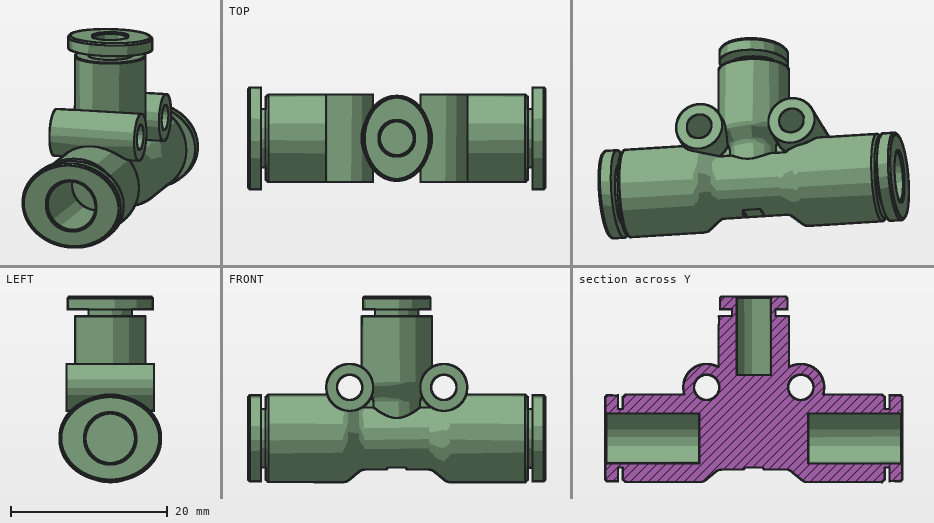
import cadquery as cq

run_port_radius = 5.6
run_port_end = 16.7
run_port_chamfer = 0.35
waist_radius = 4.0
run_cone_inner = 4.48
run_cone_outer = 6.43

branch_port_radius = 4.5
branch_port_end = 15.6
branch_port_chamfer = 0.1
stem_radius = 3.05
branch_cone_inner = 5.03
branch_cone_outer = 6.78

cone_blend = 1.0

ring_thickness = 1.65
ring_chamfer = 0.25
bore_chamfer = 0.2
run_ring_face = 18.95
run_ring_long = 13.0
run_ring_short = 11.0
run_neck_radius = 3.75
run_bore_radius = 3.15
run_bore_depth = 12.0
branch_ring_face = 18.1
branch_ring_long = 10.86
branch_ring_short = 8.65
branch_neck_radius = 2.8
branch_bore_radius = 2.15
branch_bore_depth = 10.0

tube_radius = 3.0
tube_hole_radius = 1.6
tube_x = 6.0
tube_z = 6.5
tube_length = 2 * run_port_radius

web_thickness = 1.2

gate_width = 2.65
gate_length = 4.0
gate_depth = 0.28
gate_draft = 35.0


def stepped_leg(inner_radius, cone_inner, cone_outer, port_radius, port_end, end_chamfer):
    """Round leg along +Z: thin part, blended cone, then the wider port with a chamfered end."""
    leg = (
        cq.Workplane("XZ")
        .polyline([
            (0, 0),
            (inner_radius, 0),
            (inner_radius, cone_inner),
            (port_radius, cone_outer),
            (port_radius, port_end),
            (0, port_end),
        ])
        .close()
        .revolve(360, (0, 0, 0), (0, 1, 0))
    )
    leg = leg.faces(">Z").chamfer(end_chamfer)

    middle_height = (cone_inner + cone_outer) / 2
    cone_reach = port_radius + cone_blend
    cone_zone = cq.selectors.BoxSelector(
        (-cone_reach, -cone_reach, middle_height - cone_reach / 2),
        (cone_reach, cone_reach, middle_height + cone_reach / 2),
        boundingbox=False,
    )
    return leg.edges("%CIRCLE").edges(cone_zone).fillet(cone_blend)


def release_ring(long_axis, short_axis, face, neck_radius, neck_start):
    """Oval ring with its outer face at height `face`, long axis along Y, on a round neck."""
    ring = (
        cq.Workplane("XY", origin=(0, 0, face - ring_thickness))
        .ellipse(short_axis / 2, long_axis / 2)
        .extrude(ring_thickness)
        .faces(">Z")
        .chamfer(ring_chamfer)
    )
    neck = (
        cq.Workplane("XY", origin=(0, 0, neck_start))
        .circle(neck_radius)
        .extrude(face - ring_thickness - neck_start)
    )
    return ring.union(neck)


def blind_bore(radius, depth, face):
    """Cutter for a flat-bottomed tube bore with a chamfered mouth at height `face`."""
    bore = cq.Workplane("XY", origin=(0, 0, face - depth)).circle(radius).extrude(depth)
    mouth = cq.Solid.makeCone(
        radius, radius + bore_chamfer, bore_chamfer, cq.Vector(0, 0, face - bore_chamfer)
    )
    return bore.union(cq.Workplane(mouth))


def along_y(radius, x):
    """Cylinder along Y with the length and height of the mounting tubes."""
    return (
        cq.Workplane("XZ", origin=(x, tube_length / 2, tube_z))
        .circle(radius)
        .extrude(tube_length)
    )


def onto_run(shape, side):
    """Turn a shape built along +Z to point along +X (side 1) or -X (side -1)."""
    return shape.rotate((0, 0, 0), (0, 1, 0), side * 90)


run_leg = stepped_leg(
    waist_radius, run_cone_inner, run_cone_outer, run_port_radius, run_port_end, run_port_chamfer
)
run_ring = release_ring(
    run_ring_long, run_ring_short, run_ring_face, run_neck_radius, run_port_end
)
run_bore = blind_bore(run_bore_radius, run_bore_depth, run_ring_face)

branch_leg = stepped_leg(
    stem_radius,
    branch_cone_inner,
    branch_cone_outer,
    branch_port_radius,
    branch_port_end,
    branch_port_chamfer,
)
branch_ring = release_ring(
    branch_ring_long, branch_ring_short, branch_ring_face, branch_neck_radius, branch_port_end
)
branch_bore = blind_bore(branch_bore_radius, branch_bore_depth, branch_ring_face)

web = cq.Workplane("XY").box(2 * tube_x, web_thickness, tube_z, centered=(True, True, False))

body = branch_leg.union(branch_ring).union(web)
for side in (-1, 1):
    body = body.union(onto_run(run_leg, side)).union(onto_run(run_ring, side))
    body = body.union(along_y(tube_radius, side * tube_x))

body = body.cut(branch_bore)
for side in (-1, 1):
    body = body.cut(onto_run(run_bore, side)).cut(along_y(tube_hole_radius, side * tube_x))

gate_recess = (
    cq.Workplane("XY", origin=(0, 0, -waist_radius))
    .rect(gate_width, gate_length)
    .extrude(gate_depth, taper=gate_draft)
)
result = body.cut(gate_recess)